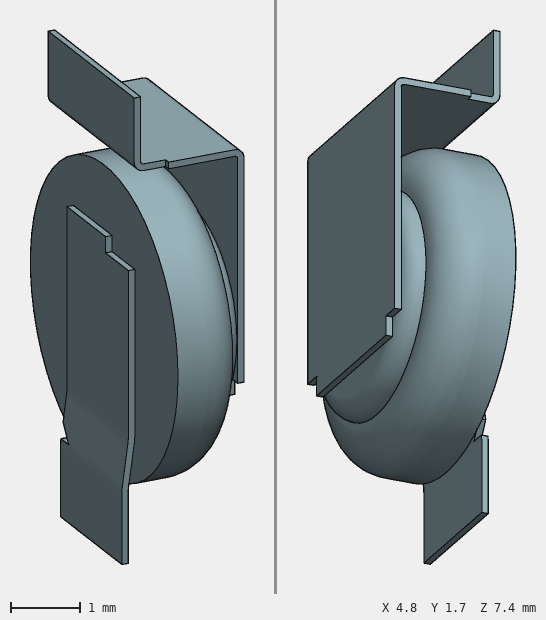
import cadquery as cq
import math


cell_radius = 2.401
shoulder_y = 1.1
shoulder_round = 0.6
boss_radius = 1.7
cell_depth = 1.4
boss_round = cell_depth - shoulder_y

sheet = 0.1
front_y = -2 * sheet
foot_back_y = front_y + sheet

upper_width = 3.0
foot_width = 2.8
foot_top_z = 3.995
shelf_top_z = 2.945
shelf_bottom_z = shelf_top_z - sheet
upper_bottom_z = -1.0
back_y = cell_depth + sheet
bend_inner = 0.05
bend_outer = bend_inner + sheet
narrowing_y = 0.295
upper_notch = 0.3

lower_width = 2.0
lower_top_z = 1.4
overall_height = 7.4
lower_bottom_z = foot_top_z - overall_height
slope_top_z = -1.48
slope_bottom_z = -2.235
slope_bend = 1.0
step_width = 0.74
step_height = 0.25
nick_size = 0.25
nick_bottom_z = -2.19


def fold(profile, width, bends):
    """Extrude a Y-Z profile symmetrically along X and round its bends, given as (y, z, radius)."""
    strip = cq.Workplane("YZ").polyline(profile).close().extrude(width / 2, both=True)
    for y, z, radius in bends:
        strip = strip.edges("|X").edges(cq.NearestToPointSelector((0, y, z))).fillet(radius)
    return strip


def block(x_min, x_max, y_min, y_max, z_min, z_max):
    """Axis-aligned box between the given limits."""
    size = (x_max - x_min, y_max - y_min, z_max - z_min)
    return cq.Workplane("XY").box(*size, centered=False).translate((x_min, y_min, z_min))


def make_cell():
    """Revolved can with a rounded shoulder and a rounded boss on its back."""
    diagonal = math.sqrt(0.5)
    shoulder_flat = cell_radius - shoulder_round
    shoulder_start = shoulder_y - shoulder_round
    boss_flat = boss_radius - boss_round
    shoulder_mid = (shoulder_flat + shoulder_round * diagonal, shoulder_start + shoulder_round * diagonal)
    boss_mid = (boss_flat + boss_round * diagonal, shoulder_y + boss_round * diagonal)
    return (
        cq.Workplane("XY")
        .lineTo(cell_radius, 0)
        .lineTo(cell_radius, shoulder_start)
        .threePointArc(shoulder_mid, (shoulder_flat, shoulder_y))
        .lineTo(boss_radius, shoulder_y)
        .threePointArc(boss_mid, (boss_flat, cell_depth))
        .lineTo(0, cell_depth)
        .close()
        .revolve(360, (0, 0, 0), (0, 1, 0))
    )


def make_upper_tab():
    """Z-folded tab that lies on the boss and turns up into a narrower foot."""
    profile = [
        (cell_depth, upper_bottom_z),
        (back_y, upper_bottom_z),
        (back_y, shelf_top_z),
        (foot_back_y, shelf_top_z),
        (foot_back_y, foot_top_z),
        (front_y, foot_top_z),
        (front_y, shelf_bottom_z),
        (cell_depth, shelf_bottom_z),
    ]
    bends = [
        (back_y, shelf_top_z, bend_outer),
        (cell_depth, shelf_bottom_z, bend_inner),
        (front_y, shelf_bottom_z, bend_outer),
        (foot_back_y, shelf_top_z, bend_inner),
    ]
    tab = fold(profile, upper_width, bends)
    edge = upper_width / 2
    foot_edge = foot_width / 2
    notch_edge = edge - upper_notch
    notch_top_z = upper_bottom_z + upper_notch
    for inner, outer in ((-edge, -foot_edge), (foot_edge, edge)):
        tab = tab.cut(block(inner, outer, front_y, narrowing_y, shelf_bottom_z, foot_top_z))
    for inner, outer in ((-edge, -notch_edge), (notch_edge, edge)):
        tab = tab.cut(block(inner, outer, cell_depth, back_y, upper_bottom_z, notch_top_z))
    return tab


def make_lower_tab():
    """Tab that lies on the flat face of the cell and slopes forward into a foot."""
    slope_angle = math.atan2(foot_back_y - front_y, slope_top_z - slope_bottom_z)
    back_shift = sheet * math.tan(slope_angle / 2)
    back_top_z = slope_top_z - back_shift
    back_bottom_z = slope_bottom_z - back_shift
    profile = [
        (0, lower_top_z),
        (-sheet, lower_top_z),
        (-sheet, slope_top_z),
        (front_y, slope_bottom_z),
        (front_y, lower_bottom_z),
        (foot_back_y, lower_bottom_z),
        (foot_back_y, back_bottom_z),
        (0, back_top_z),
    ]
    bends = [
        (-sheet, slope_top_z, slope_bend),
        (0, back_top_z, slope_bend + sheet),
        (front_y, slope_bottom_z, slope_bend),
        (foot_back_y, back_bottom_z, slope_bend - sheet),
    ]
    tab = fold(profile, lower_width, bends)
    edge = lower_width / 2
    step = block(edge - step_width, edge, -sheet, 0, lower_top_z - step_height, lower_top_z)
    nick = (
        cq.Workplane("XZ")
        .polyline([
            (-edge, nick_bottom_z + nick_size),
            (-edge + nick_size, nick_bottom_z),
            (-edge, nick_bottom_z),
        ])
        .close()
        .extrude(-front_y)
    )
    return tab.cut(step).cut(nick)


cell = make_cell()
upper_tab = make_upper_tab()
lower_tab = make_lower_tab()

result = cq.Compound.makeCompound([cell.val(), upper_tab.val(), lower_tab.val()])